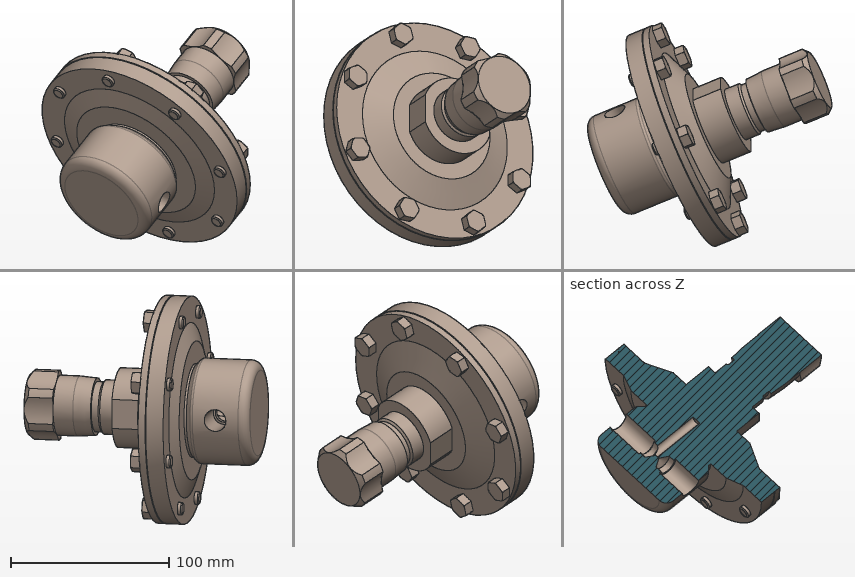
import cadquery as cq
import math


cap_radius = 33.5
cap_face_round = 6.4
cap_back_round = 2.4
neck_radius = 29.8
neck_start = 40.6
cap_shoulder = neck_start - (cap_radius - neck_radius)

flange_radius = 72.4
flange_front = 46.3
flange_back = 62.4
front_cone_end = 42.1
front_cone_tip_radius = 44.0
front_cone_base_radius = 55.6
back_cone_end = 70.9
back_cone_tip_radius = 35.6
back_cone_base_radius = 53.4

seam_position = 57.5
seam_width = 0.5
seam_depth = 0.22

hub_end = 90.1
hub_radius = 25.4
hub_across_flats = 47.1

nose_radius = 17.3
nose_end = 100.8
nose_bevel = 1.3

collar_start = 105.3
collar_start_radius = 18.2
collar_taper_end = 116.5
collar_radius = 19.1
nut_start = 129.3
nut_end = 148.3
nut_radius = 22.2
nut_bevel = 3.1
nut_turn = 1.0
nut_scallops = 6
scallop_floor = 19.3
scallop_half_angle = 22.3

bolt_count = 8
bolt_circle_radius = 64.3
bolt_start_angle = 20.4
bolt_tip = 43.5
bolt_radius = 4.0
bolt_bevel = 0.7
head_top = 68.6
head_across_corners = 14.8
head_bevel = 0.5
head_turn = 9.6

port_position = 21.2
thread_radius = 7.0
drill_radius = 5.6
drill_length = 4.5
drill_point_angle = 118.0
open_port_overrun = 1.2
blind_port_wall = 1.5

passage_radius = 3.0


def plane_at(y):
    """Plane across the main axis, with X to the right and Z up."""
    return cq.Workplane("XZ", origin=(0, y, 0))


def rod(radius, start, end):
    """Round bar along the main axis between two Y positions."""
    return plane_at(start).circle(radius).extrude(start - end)


def turned(solid, degrees):
    """Turn a solid about the main axis, from +X towards +Z."""
    return solid.rotate((0, 0, 0), (0, -1, 0), degrees)


def make_turned_body():
    """Cap, neck, flanges, nose and collar as one revolved outline."""
    profile = (
        cq.Workplane("XY")
        .lineTo(cap_radius, 0)
        .lineTo(cap_radius, cap_shoulder)
        .lineTo(neck_radius, neck_start)
        .lineTo(neck_radius, front_cone_end)
        .lineTo(front_cone_tip_radius, front_cone_end)
        .lineTo(front_cone_base_radius, flange_front)
        .lineTo(flange_radius, flange_front)
        .lineTo(flange_radius, flange_back)
        .lineTo(back_cone_base_radius, flange_back)
        .lineTo(back_cone_tip_radius, back_cone_end)
        .lineTo(nose_radius, back_cone_end)
        .lineTo(nose_radius, nose_end - nose_bevel)
        .lineTo(nose_radius - nose_bevel, nose_end)
        .lineTo(nose_radius - nose_bevel, collar_start)
        .lineTo(collar_start_radius, collar_start)
        .lineTo(collar_radius, collar_taper_end)
        .lineTo(collar_radius, nut_start)
        .lineTo(0, nut_start)
        .close()
    )
    body = profile.revolve(360, (0, 0, 0), (0, 1, 0))
    body = body.faces("<Y").edges().fillet(cap_face_round)
    shoulder = cq.selectors.NearestToPointSelector((0, cap_shoulder, 0))
    body = body.edges(shoulder).fillet(cap_back_round)
    seam = (
        plane_at(seam_position)
        .circle(flange_radius)
        .circle(flange_radius - seam_depth)
        .extrude(-seam_width)
    )
    return body.cut(seam)


def make_hub():
    """Round hub with a flat on its -X and +X sides."""
    length = hub_end - back_cone_end
    flats = plane_at(back_cone_end).rect(hub_across_flats, 2 * hub_radius).extrude(-length)
    return rod(hub_radius, back_cone_end, hub_end).intersect(flats)


def make_nut():
    """Round nut with a bevelled end and concave scallops along its length."""
    nut = rod(nut_radius, nut_start, nut_end).faces(">Y").edges().chamfer(nut_bevel)
    half_angle = math.radians(scallop_half_angle)
    half_chord = nut_radius * math.sin(half_angle)
    scallop_depth = nut_radius * math.cos(half_angle) - scallop_floor
    scallop_radius = (half_chord**2 + scallop_depth**2) / (2 * scallop_depth)
    cutter = rod(scallop_radius, nut_start, nut_end).translate((scallop_floor + scallop_radius, 0, 0))
    for i in range(nut_scallops):
        nut = nut.cut(turned(cutter, nut_turn + i * 360 / nut_scallops))
    return nut


def make_bolt():
    """One bolt on the main axis, its head corner pointing along +X."""
    shank = rod(bolt_radius, bolt_tip, flange_back).faces("<Y").edges().chamfer(bolt_bevel)
    head = plane_at(flange_back).polygon(6, head_across_corners).extrude(flange_back - head_top)
    head_round = (
        rod(head_across_corners / 2, flange_back, head_top).faces(">Y").edges().chamfer(head_bevel)
    )
    return shank.union(head.intersect(head_round))


def make_port(tip_distance):
    """Port on the -X side: threaded bore, then a smaller drill with a conical tip."""
    cone_length = drill_radius / math.tan(math.radians(drill_point_angle / 2))
    cone_base = -tip_distance - cone_length
    thread_end = cone_base - drill_length
    profile = (
        cq.Workplane("XY", origin=(0, port_position, 0))
        .moveTo(-tip_distance, 0)
        .lineTo(cone_base, drill_radius)
        .lineTo(thread_end, drill_radius)
        .lineTo(thread_end, thread_radius)
        .lineTo(-cap_radius, thread_radius)
        .lineTo(-cap_radius, 0)
        .close()
    )
    return profile.revolve(360, (0, 0, 0), (1, 0, 0))


result = make_turned_body().union(make_hub()).union(make_nut())

bolt = turned(make_bolt(), head_turn).translate((bolt_circle_radius, 0, 0))
for i in range(bolt_count):
    result = result.union(turned(bolt, bolt_start_angle + i * 360 / bolt_count))

open_port = make_port(-open_port_overrun)
blind_port = turned(make_port(passage_radius + blind_port_wall), 180)
passage = rod(passage_radius, port_position, seam_position)
result = result.cut(open_port).cut(blind_port).cut(passage)